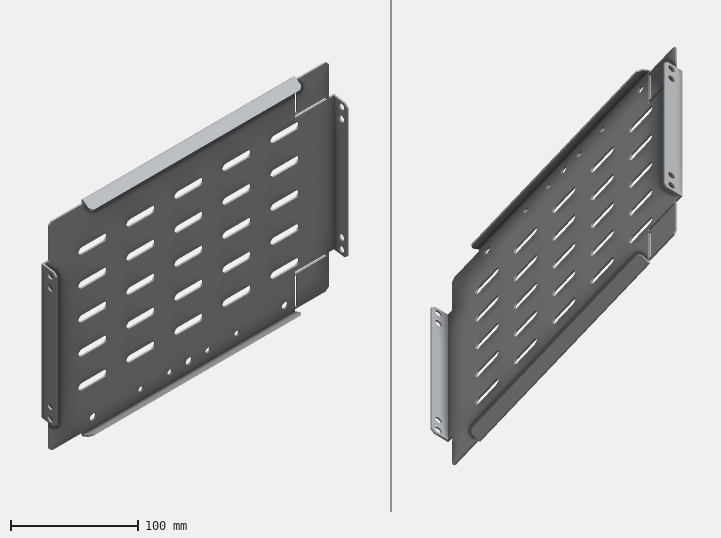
import cadquery as cq
import math

sheet = 1.5
length = 305.5
height = 249.0
depth = 17.5

body_length = 291.8
body_height = 240.7
corner_cut = 3.0

flange_height = 162.0
flange_hole = 6.5
flange_hole_x = 10.7
flange_hole_heights = (62.3, 75.2)

lip_length = 221.5
lip_reach = 11.3
lip_drop = math.radians(30)
lip_bend = 1.2

slot_length = 30.0
slot_width = 7.5
slot_pitch_y = 50.0
slot_pitch_z = 35.7
slots_per_side = 5

hole_row_z = 110.3
large_hole = 6.7
small_hole = 5.2
large_hole_places = (-100.2, 0, 100.2)
small_hole_places = (-50.0, -20.0, 20.0, 50.0)

bridge = 1.8
upright_cut_width = 2.0
level_cut_width = 2.7


def plate():
    """Flat plate: a body with cut corners and a band reaching out to the end flanges."""
    body = (
        cq.Workplane("YZ").rect(body_length, body_height).extrude(sheet)
        .edges("|X").chamfer(corner_cut)
    )
    flange_band = cq.Workplane("YZ").rect(length, flange_height).extrude(sheet)
    return body.union(flange_band)


def end_flange():
    """Flange on the +Y end, with two holes near each of its ends."""
    flange = (
        cq.Workplane("XY").box(depth, sheet, flange_height, centered=(False, False, True))
        .edges(">X and |Y").chamfer(corner_cut)
    )
    hole_places = [(flange_hole_x, side * z) for z in flange_hole_heights for side in (-1, 1)]
    holes = (
        cq.Workplane("XZ").pushPoints(hole_places)
        .circle(flange_hole / 2).extrude(-sheet)
    )
    return flange.cut(holes).translate((0, length / 2 - sheet, 0))


def upper_lip():
    """Top band of the plate, folded over at a rounded bend into a lip that slopes down."""
    half_fold = (math.pi / 2 - lip_drop) / 2
    fold_z = height / 2 + lip_bend * (1 / math.tan(half_fold) - 1)
    inner_fold_z = fold_z - sheet / math.tan(half_fold)
    fall = lip_reach * math.tan(lip_drop)
    tip = (lip_reach, fold_z - fall)
    inner_tip = (tip[0] - sheet * math.sin(lip_drop), tip[1] - sheet * math.cos(lip_drop))
    strip = (
        cq.Workplane("XZ")
        .polyline([(0, 0), (0, fold_z), tip, inner_tip, (sheet, inner_fold_z), (sheet, 0)])
        .close()
        .extrude(lip_length / 2, both=True)
    )
    tip_ends = cq.selectors.BoxSelector(
        (lip_reach - sheet, -length, 0), (lip_reach + sheet, length, height)
    )
    return (
        strip.edges("<X and >Z").fillet(lip_bend)
        .edges(tip_ends).edges("not |Y").chamfer(corner_cut)
    )


def slots():
    """Square grid of slots lying along Y."""
    return (
        cq.Workplane("YZ")
        .rarray(slot_pitch_y, slot_pitch_z, slots_per_side, slots_per_side)
        .slot2D(slot_length, slot_width).extrude(sheet)
    )


def row_holes(diameter, places):
    """The same row of holes beside each lip."""
    points = [(y, side * hole_row_z) for y in places for side in (-1, 1)]
    return cq.Workplane("YZ").pushPoints(points).circle(diameter / 2).extrude(sheet)


def tab_cuts():
    """Upright and level cut around the upper +Y corner tab."""
    inner_y = lip_length / 2
    level_z = flange_height / 2
    upright_bottom = level_z + level_cut_width + bridge
    upright = cq.Workplane("XY").box(
        sheet, upright_cut_width, body_height / 2 - bridge - upright_bottom, centered=False
    ).translate((0, inner_y, upright_bottom))
    level = cq.Workplane("XY").box(
        sheet, body_length / 2 - bridge - inner_y, level_cut_width, centered=False
    ).translate((0, inner_y, level_z))
    return upright.union(level)


flange = end_flange()
lip = upper_lip()
upper_cuts = tab_cuts()

result = (
    plate()
    .union(flange)
    .union(flange.mirror("XZ"))
    .union(lip)
    .union(lip.mirror("XY"))
    .cut(slots())
    .cut(row_holes(large_hole, large_hole_places))
    .cut(row_holes(small_hole, small_hole_places))
    .cut(upper_cuts)
    .cut(upper_cuts.mirror("XY"))
)